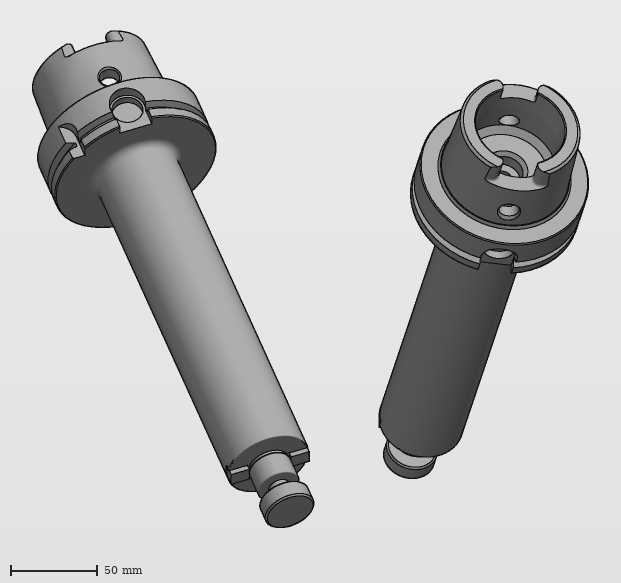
import cadquery as cq
import math


LENGTH = 340.0

TAPER_TIP_DIA = 71.0
TAPER_BASE_DIA = 75.5
TIP_CHAMFER_LENGTH = 1.5
TIP_CHAMFER_DEPTH = 1.7
COLLAR_X = 47.0
COLLAR_DIA = 76.5
COLLAR_BASE_DIA = 79.0

FLANGE_X = 49.0
FLANGE_END_X = 79.2
FLANGE_DIA = 100.0
FLANGE_CHAMFER = 0.7
GROOVE_X = 70.0
GROOVE_MOUTH = 5.8
GROOVE_FLOOR = 2.5
GROOVE_DIA = 91.8

SHANK_DIA = 50.0
SHANK_END_X = 303.3
SHANK_FILLET = 4.8
NOSE_ROUNDING = 0.7
RELIEF_DIA = 24.5
RELIEF_END_X = 305.3
SPIGOT_DIA = 25.5
SPIGOT_END_X = 320.5

BORE_DIA = 53.0
BORE_MOUTH_CHAMFER = 0.7
BORE_STRAIGHT_DEPTH = 19.7
UNDERCUT_DIA = 57.8
UNDERCUT_END_X = 40.8
BORE_FLOOR_DIA = 49.0
BORE_FLOOR_X = 44.2
SOCKET_MOUTH_DIA = 26.0
SOCKET_DIA = 21.0
SOCKET_DEPTH = 10.2
COOLANT_DIA = 11.2

CROSS_HOLE_DIA = 12.0
CROSS_HOLE_CONE_Z = 35.7
CROSS_HOLE_X = 34.7

DRIVE_SLOT_WIDTH = 20.7
DRIVE_LIP_RADIUS = 4.0
DRIVE_SHOULDER_Z = 31.0
DRIVE_FLOOR_FILLET = 1.7
DRIVE_SLOT_DEPTH_TOP = 9.5
DRIVE_SLOT_DEPTH_BOTTOM = 14.3

SLOT_END_DIA = 21.0
FLANGE_SLOT_WIDTH = 19.7
FLANGE_SLOT_X = 65.0
FLANGE_SLOT_FLOOR_Z = 43.0
CHIP_HOLE_DIA = 18.0
CHIP_HOLE_DEPTH = 5.0
NOTCH_WALL_Y = -31.5
NOTCH_FLOOR_Z = 31.3

KEY_WIDTH = 9.5
KEY_X = 299.2
KEY_LENGTH = 7.0
KEY_INNER_Y = 13.0
KEY_OUTER_Y = 24.0

SCREW_DIA = 12.5
SCREW_TIP_X = 285.5
HEAD_X = 328.8
HEAD_DIA = 30.3
HEAD_CHAMFER_LENGTH = 1.0
HEAD_CHAMFER_DEPTH = 1.0

CUT_MARGIN = 3.5


def turned(profile):
    """Revolve a closed (x, radius) profile about the X axis."""
    return cq.Workplane("XY").polyline(profile).close().revolve(360, (0, 0, 0), (1, 0, 0))


def rod(diameter, start_x, end_x):
    """Cylinder along the X axis."""
    return cq.Workplane("YZ", origin=(start_x, 0, 0)).circle(diameter / 2).extrude(end_x - start_x)


def arc_inset(radius):
    """Distance from a square corner to the middle of its rounding, along either side."""
    return radius * (1 - math.sqrt(0.5))


def taper_and_flange():
    tip = TAPER_TIP_DIA / 2
    flange = FLANGE_DIA / 2
    body = turned([
        (0, 0),
        (0, tip - TIP_CHAMFER_DEPTH),
        (TIP_CHAMFER_LENGTH, tip),
        (COLLAR_X, TAPER_BASE_DIA / 2),
        (COLLAR_X, COLLAR_DIA / 2),
        (FLANGE_X, COLLAR_BASE_DIA / 2),
        (FLANGE_X, flange - FLANGE_CHAMFER),
        (FLANGE_X + FLANGE_CHAMFER, flange),
        (FLANGE_END_X - FLANGE_CHAMFER, flange),
        (FLANGE_END_X, flange - FLANGE_CHAMFER),
        (FLANGE_END_X, 0),
    ])
    groove = turned([
        (GROOVE_X - GROOVE_FLOOR / 2, GROOVE_DIA / 2),
        (GROOVE_X - GROOVE_MOUTH / 2, flange),
        (GROOVE_X - GROOVE_MOUTH / 2, flange + CUT_MARGIN),
        (GROOVE_X + GROOVE_MOUTH / 2, flange + CUT_MARGIN),
        (GROOVE_X + GROOVE_MOUTH / 2, flange),
        (GROOVE_X + GROOVE_FLOOR / 2, GROOVE_DIA / 2),
    ])
    return body.cut(groove)


def shank_and_spigot():
    shank = SHANK_DIA / 2
    spigot = SPIGOT_DIA / 2
    root_inset = arc_inset(SHANK_FILLET)
    nose_inset = arc_inset(NOSE_ROUNDING)
    profile = (
        cq.Workplane("XY")
        .moveTo(FLANGE_END_X, 0)
        .lineTo(FLANGE_END_X, shank + SHANK_FILLET)
        .threePointArc(
            (FLANGE_END_X + root_inset, shank + root_inset),
            (FLANGE_END_X + SHANK_FILLET, shank),
        )
        .lineTo(SHANK_END_X - NOSE_ROUNDING, shank)
        .threePointArc(
            (SHANK_END_X - nose_inset, shank - nose_inset),
            (SHANK_END_X, shank - NOSE_ROUNDING),
        )
        .lineTo(SHANK_END_X, RELIEF_DIA / 2)
        .lineTo(RELIEF_END_X, RELIEF_DIA / 2)
        .lineTo(RELIEF_END_X, spigot)
        .lineTo(SPIGOT_END_X - NOSE_ROUNDING, spigot)
        .threePointArc(
            (SPIGOT_END_X - nose_inset, spigot - nose_inset),
            (SPIGOT_END_X, spigot - NOSE_ROUNDING),
        )
        .lineTo(SPIGOT_END_X, 0)
        .close()
    )
    return profile.revolve(360, (0, 0, 0), (1, 0, 0))


def inner_bore():
    """Bore of the taper, the stepped hole in its floor and the hole for the screw."""
    bore = BORE_DIA / 2
    socket = SOCKET_DIA / 2
    socket_chamfer = (SOCKET_MOUTH_DIA - SOCKET_DIA) / 2
    stepped = turned([
        (0, 0),
        (0, bore + BORE_MOUTH_CHAMFER),
        (BORE_MOUTH_CHAMFER, bore),
        (BORE_STRAIGHT_DEPTH, bore),
        (UNDERCUT_END_X, UNDERCUT_DIA / 2),
        (BORE_FLOOR_X, BORE_FLOOR_DIA / 2),
        (BORE_FLOOR_X, SOCKET_MOUTH_DIA / 2),
        (BORE_FLOOR_X + socket_chamfer, socket),
        (BORE_FLOOR_X + SOCKET_DEPTH, socket),
        (BORE_FLOOR_X + SOCKET_DEPTH, COOLANT_DIA / 2),
        (SCREW_TIP_X, COOLANT_DIA / 2),
        (SCREW_TIP_X, 0),
    ])
    return stepped.union(rod(SCREW_DIA, SCREW_TIP_X, SPIGOT_END_X))


def cross_hole():
    radius = CROSS_HOLE_DIA / 2
    reach = TAPER_BASE_DIA / 2 + CUT_MARGIN
    mouth = radius + reach - CROSS_HOLE_CONE_Z
    profile = [
        (0, -reach),
        (mouth, -reach),
        (radius, -CROSS_HOLE_CONE_Z),
        (radius, CROSS_HOLE_CONE_Z),
        (mouth, reach),
        (0, reach),
    ]
    return (
        cq.Workplane("XZ", origin=(CROSS_HOLE_X, 0, 0))
        .polyline(profile)
        .close()
        .revolve(360, (0, 0, 0), (0, 1, 0))
    )


def drive_slot(depth):
    """Slot across the +Z side of the taper tip, widening over rounded lips."""
    wall = DRIVE_SLOT_WIDTH / 2
    flat = wall + DRIVE_LIP_RADIUS
    arc_start_z = DRIVE_SHOULDER_Z - DRIVE_LIP_RADIUS
    inset = arc_inset(DRIVE_LIP_RADIUS)
    outer = TAPER_BASE_DIA / 2 + CUT_MARGIN
    return (
        cq.Workplane("YZ", origin=(-CUT_MARGIN, 0, 0))
        .moveTo(-wall, 0)
        .lineTo(-wall, arc_start_z)
        .threePointArc((-wall - inset, DRIVE_SHOULDER_Z - inset), (-flat, DRIVE_SHOULDER_Z))
        .lineTo(-outer, DRIVE_SHOULDER_Z)
        .lineTo(-outer, outer)
        .lineTo(outer, outer)
        .lineTo(outer, DRIVE_SHOULDER_Z)
        .lineTo(flat, DRIVE_SHOULDER_Z)
        .threePointArc((wall + inset, DRIVE_SHOULDER_Z - inset), (wall, arc_start_z))
        .lineTo(wall, 0)
        .close()
        .extrude(CUT_MARGIN + depth)
        .faces(">X")
        .edges()
        .fillet(DRIVE_FLOOR_FILLET)
    )


def round_ended_slot(center_y, floor_z, width):
    """Slot along X with a round end, open upward and at the rear face of the flange."""
    height = FLANGE_DIA / 2 + CUT_MARGIN - floor_z
    length = FLANGE_END_X - FLANGE_SLOT_X
    plane = cq.Workplane("XY", origin=(FLANGE_SLOT_X, center_y, floor_z))
    end = plane.circle(SLOT_END_DIA / 2).extrude(height)
    straight = plane.center(length / 2, 0).rect(length, width).extrude(height)
    return end.union(straight)


def flange_slot():
    slot = round_ended_slot(0, FLANGE_SLOT_FLOOR_Z, FLANGE_SLOT_WIDTH)
    chip_hole = (
        cq.Workplane("XY", origin=(FLANGE_SLOT_X, 0, FLANGE_SLOT_FLOOR_Z))
        .circle(CHIP_HOLE_DIA / 2)
        .extrude(-CHIP_HOLE_DEPTH)
    )
    return slot.union(chip_hole)


def corner_notch():
    return round_ended_slot(NOTCH_WALL_Y - SLOT_END_DIA / 2, NOTCH_FLOOR_Z, SLOT_END_DIA)


def key_block(side, outer_y, end_x):
    """Block on the +Y (side = 1) or -Y (side = -1) half of the nose."""
    height = outer_y - KEY_INNER_Y
    return cq.Workplane("XY").box(end_x - KEY_X, height, KEY_WIDTH).translate(
        ((KEY_X + end_x) / 2, side * (KEY_INNER_Y + outer_y) / 2, 0)
    )


def drive_key(side):
    return key_block(side, KEY_OUTER_Y, KEY_X + KEY_LENGTH)


def make_holder():
    body = taper_and_flange().union(shank_and_spigot())
    body = body.cut(inner_bore()).cut(cross_hole())
    body = body.cut(drive_slot(DRIVE_SLOT_DEPTH_TOP))
    body = body.cut(drive_slot(DRIVE_SLOT_DEPTH_BOTTOM).rotate((0, 0, 0), (1, 0, 0), 180))
    body = body.cut(flange_slot())
    body = body.cut(flange_slot().rotate((0, 0, 0), (1, 0, 0), 180))
    body = body.cut(corner_notch())
    for side in (1, -1):
        body = body.cut(key_block(side, SHANK_DIA / 2 + CUT_MARGIN, SHANK_END_X))
    return body


def make_screw():
    head = HEAD_DIA / 2
    return turned([
        (SCREW_TIP_X, 0),
        (SCREW_TIP_X, SCREW_DIA / 2),
        (HEAD_X, SCREW_DIA / 2),
        (HEAD_X, head - HEAD_CHAMFER_DEPTH),
        (HEAD_X + HEAD_CHAMFER_LENGTH, head),
        (LENGTH - HEAD_CHAMFER_LENGTH, head),
        (LENGTH, head - HEAD_CHAMFER_DEPTH),
        (LENGTH, 0),
    ])


holder = make_holder()
drive_keys = [drive_key(side) for side in (1, -1)]
screw = make_screw()

result = cq.Compound.makeCompound([holder.val(), *[key.val() for key in drive_keys], screw.val()])